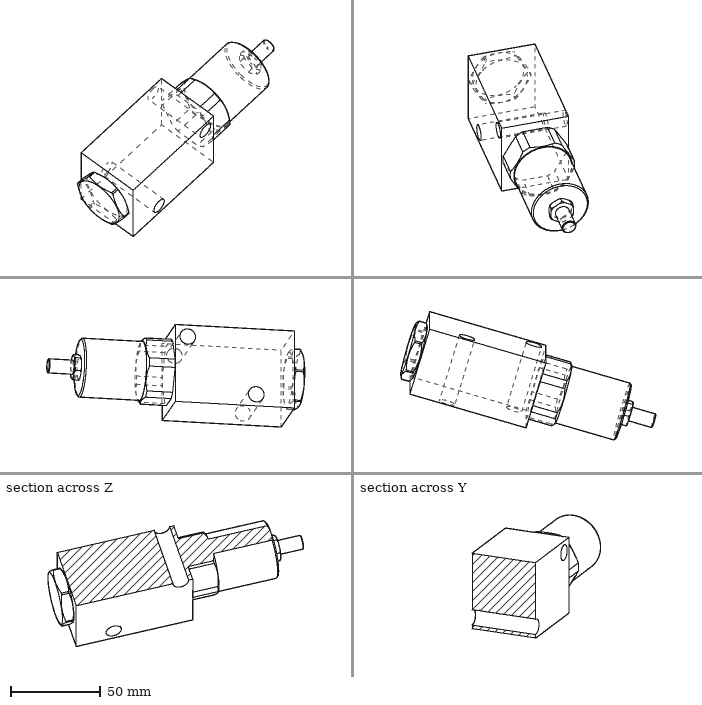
import cadquery as cq
import math

overall_length = 143.8
body_width = 39.0
body_length = 68.0
body_height = 45.0

plug_length = 6.8
plug_flats = 30.6
plug_corner_diameter = 34.8
plug_face_diameter = 30.0
plug_chamfer_length = 1.3

adjuster_length = 16.0
adjuster_flats = 34.7
adjuster_corner_diameter = 37.5
adjuster_face_diameter = 34.1
adjuster_chamfer_length = 1.3

sleeve_diameter = 33.2
sleeve_length = 35.1
sleeve_chamfer = 0.9

nut_length = 3.9
nut_flats = 13.0
nut_corner_diameter = nut_flats / math.cos(math.radians(30))
nut_face_diameter = 13.5
nut_chamfer_length = 0.6
screw_diameter = 8.0
screw_chamfer = 0.5

hole_diameter = 8.9
hole_edge_distance = 6.8
upper_hole_setback = 7.0
lower_hole_setback = 46.2

front_end = -overall_length / 2
body_front = front_end + plug_length
body_back = body_front + body_length
adjuster_back = body_back + adjuster_length
sleeve_back = adjuster_back + sleeve_length
nut_back = sleeve_back + nut_length
screw_back = overall_length / 2


def section_plane(y):
    """Plane across the axis at y, facing +Y, with its local x along X."""
    return cq.Workplane("XZ", origin=(0, y, 0)).transformed(rotate=(180, 0, 0))


def cylinder(y_start, y_end, diameter):
    return section_plane(y_start).circle(diameter / 2).extrude(y_end - y_start)


def hexagon(y_start, y_end, flats, corner_diameter, face_diameter, chamfer, front_chamfer=True, turn=0):
    """Hexagon with corners on a cylinder and conical end chamfers; turn is in degrees."""
    full_diameter = flats / math.cos(math.radians(30))
    prism = section_plane(y_start).polygon(6, full_diameter).extrude(y_end - y_start)
    prism = prism.rotate((0, 0, 0), (0, 1, 0), turn)
    corner_radius = corner_diameter / 2
    face_radius = face_diameter / 2
    profile = [(0, y_start)]
    if front_chamfer:
        profile += [(face_radius, y_start), (corner_radius, y_start + chamfer)]
    else:
        profile += [(corner_radius, y_start)]
    profile += [(corner_radius, y_end - chamfer), (face_radius, y_end), (0, y_end)]
    envelope = cq.Workplane("XY").polyline(profile).close().revolve(360, (0, 0, 0), (0, 1, 0))
    return prism.intersect(envelope)


body = cq.Workplane("XY").box(body_width, body_length, body_height)
body = body.translate((0, (body_front + body_back) / 2, 0))
hole_height = body_height / 2 - hole_edge_distance
hole_centers = [
    (body_back - upper_hole_setback, hole_height),
    (body_back - lower_hole_setback, -hole_height),
]
holes = (
    cq.Workplane("YZ")
    .pushPoints(hole_centers)
    .circle(hole_diameter / 2)
    .extrude(body_width, both=True)
)
body = body.cut(holes)

plug = hexagon(
    front_end, body_front, plug_flats, plug_corner_diameter, plug_face_diameter, plug_chamfer_length
)
adjuster = hexagon(
    body_back, adjuster_back, adjuster_flats, adjuster_corner_diameter,
    adjuster_face_diameter, adjuster_chamfer_length, front_chamfer=False,
)
sleeve = cylinder(adjuster_back, sleeve_back, sleeve_diameter).faces(">Y").chamfer(sleeve_chamfer)
nut = hexagon(
    sleeve_back, nut_back, nut_flats, nut_corner_diameter, nut_face_diameter, nut_chamfer_length, turn=30
)
screw = cylinder(nut_back, screw_back, screw_diameter).faces(">Y").chamfer(screw_chamfer)

result = body.union(plug).union(adjuster).union(sleeve).union(nut).union(screw)